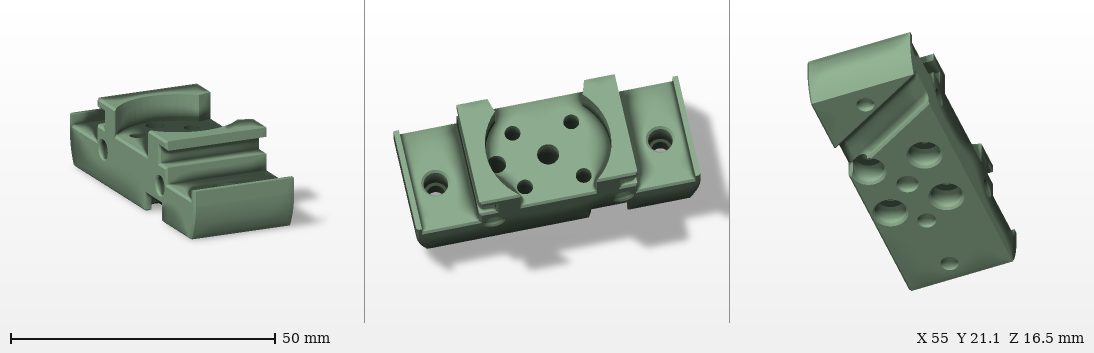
import cadquery as cq
import math

length = 55.0
front_y = -9.7
back_y = 11.35
height = 16.5
edge_chamfer = 0.41

end_lip_width = 1.05
end_lip_top = 10.0
deck_z = 8.0
side_arc_radius = 14.0
side_arc_top = 7.0
tower_half_width = 15.3
shelf_z = 11.3
hook_thickness = 1.85
groove_depth = 3.25

seat_radius = 12.0
seat_z = 11.2
seat_neck_angle = 45.0
seat_back_half_width = 9.35
seat_front_half_width = 7.35

center_hole_diameter = 4.2
cable_hole_diameter = 3.6
cable_hole_x = -9.95
screw_diameter = 3.0
screw_circle_radius = 8.05
screw_head_diameter = 6.0
screw_head_depth = 5.0

end_hole_x = 21.7
end_hole_diameter = 3.4
end_bore_diameter = 4.7
end_bore_depth = 5.0
end_bore_chamfer = 0.45

rod_hole_x = 12.5
rod_hole_z = 7.0
rod_hole_diameter = 3.6
rod_hole_chamfer = 0.3

channel_left_x = 5.85
channel_right_x = 13.05
channel_angle = 30.0
channel_depth = 2.0
channel_fillet = 1.0
mouth_height = 3.95
mouth_right_x = 13.35
mouth_corner_depth = 0.41

depth = back_y - front_y
half_length = length / 2


def make_body():
    """Extrude the half section mirrored about the YZ plane."""
    groove_x = tower_half_width - groove_depth
    hook_z = height - hook_thickness
    lip_x = half_length - end_lip_width

    def arc_x(z):
        drop = side_arc_top - z
        return half_length - side_arc_radius + math.sqrt(side_arc_radius**2 - drop**2)

    half = (
        cq.Workplane("XZ", origin=(0, back_y, 0))
        .moveTo(0, 0)
        .lineTo(arc_x(0), 0)
        .threePointArc((arc_x(side_arc_top / 2), side_arc_top / 2), (half_length, side_arc_top))
        .lineTo(half_length, end_lip_top)
        .lineTo(lip_x, end_lip_top)
        .lineTo(lip_x, deck_z)
        .lineTo(tower_half_width, deck_z)
        .lineTo(tower_half_width, shelf_z)
        .lineTo(groove_x, shelf_z)
        .lineTo(groove_x, hook_z)
        .lineTo(tower_half_width, hook_z)
        .lineTo(tower_half_width, height)
        .lineTo(0, height)
        .close()
        .extrude(depth)
    )
    return half.union(half.mirror("YZ")).clean()


def make_seat():
    """Round pocket, open at the front and flaring out behind the neck."""
    neck_x = seat_radius * math.sin(math.radians(seat_neck_angle))
    neck_y = seat_radius * math.cos(math.radians(seat_neck_angle))
    entry_y = -math.sqrt(seat_radius**2 - seat_front_half_width**2)
    return (
        cq.Workplane("XY", origin=(0, 0, seat_z))
        .moveTo(-seat_front_half_width, front_y)
        .lineTo(-seat_front_half_width, entry_y)
        .threePointArc((-seat_radius, 0), (-neck_x, neck_y))
        .lineTo(-seat_back_half_width, back_y)
        .lineTo(seat_back_half_width, back_y)
        .lineTo(neck_x, neck_y)
        .threePointArc((seat_radius, 0), (seat_front_half_width, entry_y))
        .lineTo(seat_front_half_width, front_y)
        .close()
        .extrude(height - seat_z)
    )


def chamfer_front(body):
    """Chamfer the front outline, leaving the lip tops, lip inner faces and seat walls sharp."""
    tolerance = 0.005
    lip_x = half_length - end_lip_width
    edges = []
    for edge in body.faces("<Y").edges().vals():
        center = edge.Center()
        on_lip = center.z > deck_z + tolerance and lip_x - tolerance < abs(center.x) < half_length - tolerance
        on_seat_wall = center.z > seat_z + tolerance and abs(abs(center.x) - seat_front_half_width) < tolerance
        if not on_lip and not on_seat_wall:
            edges.append(edge)
    return body.newObject(edges).chamfer(edge_chamfer)


def cylinder(diameter, x, y, bottom, top):
    """Vertical cylinder between two heights."""
    return cq.Workplane("XY", origin=(x, y, bottom)).circle(diameter / 2).extrude(top - bottom)


def countersink(origin, inward, diameter, size):
    """45-degree cone that breaks the edge of a hole."""
    radius = diameter / 2
    return cq.Workplane(cq.Solid.makeCone(radius + size, radius, size, origin, inward))


def make_seat_holes():
    """Center hole, cable hole and four screw holes with head recesses in the underside."""
    holes = cylinder(center_hole_diameter, 0, 0, 0, height)
    holes = holes.union(cylinder(cable_hole_diameter, cable_hole_x, 0, 0, seat_z))
    offset = screw_circle_radius / math.sqrt(2)
    for x in (-offset, offset):
        for y in (-offset, offset):
            holes = holes.union(cylinder(screw_diameter, x, y, 0, height))
            holes = holes.union(cylinder(screw_head_diameter, x, y, 0, screw_head_depth))
            holes = holes.union(countersink((x, y, 0), (0, 0, 1), screw_head_diameter, edge_chamfer))
    return holes


def make_end_holes():
    """Through holes widened from the deck down, with a chamfered rim."""
    holes = cq.Workplane("XY")
    for x in (-end_hole_x, end_hole_x):
        holes = holes.union(cylinder(end_hole_diameter, x, 0, 0, deck_z))
        holes = holes.union(cylinder(end_bore_diameter, x, 0, deck_z - end_bore_depth, deck_z))
        holes = holes.union(countersink((x, 0, deck_z), (0, 0, -1), end_bore_diameter, end_bore_chamfer))
    return holes


def make_rod_holes():
    """Front-to-back holes with a countersunk front rim."""
    holes = cq.Workplane("XY")
    for x in (-rod_hole_x, rod_hole_x):
        back_center = (x, back_y, rod_hole_z)
        front_center = (x, front_y, rod_hole_z)
        bore = cq.Workplane("XZ", origin=back_center).circle(rod_hole_diameter / 2).extrude(depth)
        holes = holes.union(bore)
        holes = holes.union(countersink(front_center, (0, 1, 0), rod_hole_diameter, rod_hole_chamfer))
    return holes


def make_channel():
    """Slanted channel from the front face to the back face.

    Its upper edges are rounded and its lower rim is chamfered. The mouth roof rises at
    45 degrees towards the front, and the sharp right corner of the mouth is cut back.
    """
    slope = math.tan(math.radians(channel_angle))

    y_start = front_y - mouth_height
    y_end = back_y + mouth_height
    start_shift = (y_start - front_y) * slope
    end_shift = (y_end - front_y) * slope

    def strip(widening=0):
        left = channel_left_x - widening
        right = channel_right_x + widening
        return cq.Workplane("XY").polyline([
            (left + start_shift, y_start),
            (right + start_shift, y_start),
            (right + end_shift, y_end),
            (left + end_shift, y_end),
        ]).close()

    channel = strip().extrude(channel_depth)
    channel = channel.faces(">Z").edges("not |X").fillet(channel_fillet)
    mouth_profile = (
        cq.Workplane("YZ", origin=(channel_left_x, 0, 0))
        .moveTo(front_y, 0)
        .lineTo(front_y, mouth_height)
        .lineTo(front_y + mouth_height, 0)
        .close()
        .extrude(length)
    )
    corner_apex_x = channel_right_x + mouth_corner_depth * slope
    corner = (
        cq.Workplane("XY")
        .moveTo(channel_right_x, front_y)
        .lineTo(mouth_right_x, front_y)
        .lineTo(corner_apex_x, front_y + mouth_corner_depth)
        .close()
        .extrude(mouth_height)
    )
    mouth = strip().extrude(mouth_height).union(corner).intersect(mouth_profile)
    rim_widening = edge_chamfer / math.cos(math.radians(channel_angle))
    rim = strip(rim_widening).extrude(edge_chamfer, taper=45)
    return channel.union(mouth).union(rim)


result = chamfer_front(make_body().cut(make_seat()))
for cutter in (make_seat_holes(), make_end_holes(), make_rod_holes(), make_channel()):
    result = result.cut(cutter)